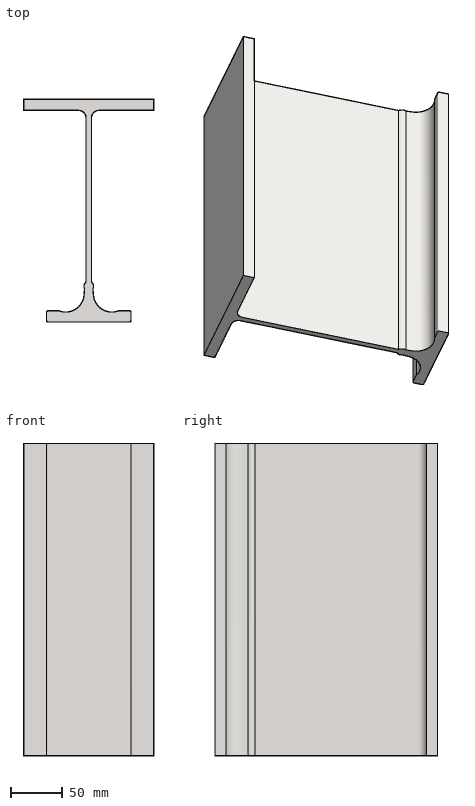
import cadquery as cq
import math

length = 304.8
depth = 217.49
wide_flange_width = 127.0
wide_flange_thickness = 11.11
foot_width = 82.55
foot_thickness = 11.11
foot_corner_radius = 1.59
web_thickness = 5.56
web_fillet_radius = 7.14

bead_start = 39.4
bead_shoulder = 36.9
bead_end = 32.4
bead_half_width = 4.45
bead_bulge = 0.5

neck_half_width = 4.25
neck_flare = math.radians(4.0)
round_radius = 17.9
round_start = 26.5

outer_y = depth / 2
foot_y = -depth / 2


def half_profile():
    """Closed outline of the +X half of the section, from the centre plane outward."""
    web_x = web_thickness / 2
    wide_x = wide_flange_width / 2
    foot_x = foot_width / 2
    flange_inner_y = outer_y - wide_flange_thickness
    foot_inner_y = foot_y + foot_thickness

    bead_mid_x = (bead_half_width + neck_half_width) / 2 + bead_bulge
    bead_mid_y = foot_y + (bead_shoulder + bead_end) / 2

    round_start_x = neck_half_width + (bead_end - round_start) * math.tan(neck_flare)
    round_start_y = foot_y + round_start
    round_x = round_start_x + round_radius * math.cos(neck_flare)
    round_y = round_start_y + round_radius * math.sin(neck_flare)
    round_end_x = round_x + math.sqrt(round_radius**2 - (round_y - foot_inner_y)**2)

    return (
        cq.Workplane("XY")
        .workplane(offset=-length / 2)
        .moveTo(0, outer_y)
        .lineTo(wide_x, outer_y)
        .lineTo(wide_x, flange_inner_y)
        .lineTo(web_x + web_fillet_radius, flange_inner_y)
        .radiusArc((web_x, flange_inner_y - web_fillet_radius), -web_fillet_radius)
        .lineTo(web_x, foot_y + bead_start)
        .lineTo(bead_half_width, foot_y + bead_shoulder)
        .threePointArc((bead_mid_x, bead_mid_y), (neck_half_width, foot_y + bead_end))
        .lineTo(round_start_x, round_start_y)
        .threePointArc((round_x, round_y - round_radius), (round_end_x, foot_inner_y))
        .lineTo(foot_x - foot_corner_radius, foot_inner_y)
        .radiusArc((foot_x, foot_inner_y - foot_corner_radius), foot_corner_radius)
        .lineTo(foot_x, foot_y + foot_corner_radius)
        .radiusArc((foot_x - foot_corner_radius, foot_y), foot_corner_radius)
        .lineTo(0, foot_y)
        .close()
    )


half_beam = half_profile().extrude(length)
result = half_beam.union(half_beam.mirror("YZ")).clean()